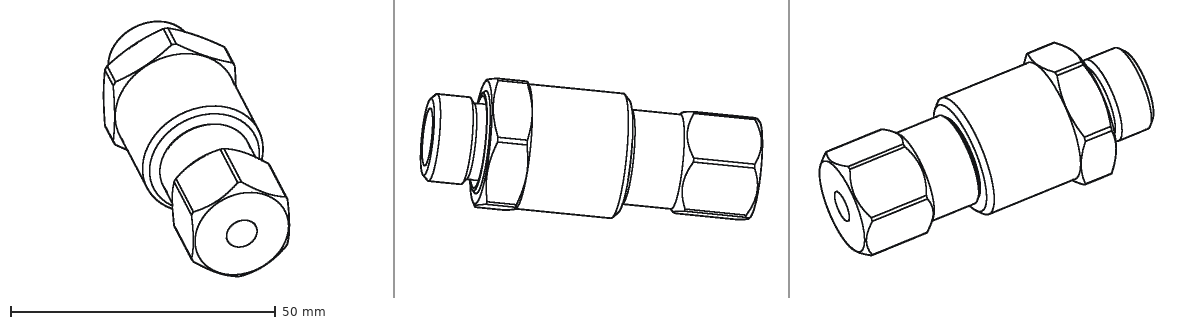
import cadquery as cq
import math

length = 62.8

thread_d = 16.65
undercut_d = 14.5
thread_chamfer = 1.0
thread_end = 7.3
undercut_start = thread_end + 0.6
undercut_chamfer_d = 14.9
undercut_step = 0.25

collar_d = 19.6
collar_start = 9.8
collar_face_d = 18.6
recess_d = 17.5
recess_depth = 0.55

body_hex_flats = 24.0
body_hex_corners = 27.2
body_hex_start = 10.3
body_hex_end = 18.0
body_hex_face_d = 23.4
body_hex_chamfer_angle = 30.0

body_d = 23.8
body_end = 37.55
body_chamfer = 1.05

neck_d = 16.65
sleeve_d = 18.0
sleeve_start = 37.8
sleeve_chamfer = 0.5
sleeve_end = 47.8

nut_flats = 18.95
nut_corners = 21.5
nut_end_face_d = 18.45
nut_chamfer_angle = 45.0

bore_d = 6.0
cone_mouth_d = 10.9
cone_small_d = 7.0
cone_angle = 30.0
entry_bore_depth = 9.4


def revolve(profile):
    """Revolve (x, diameter) points around the X axis, closing the profile on the axis."""
    points = [(x, diameter / 2) for x, diameter in profile]
    outline = [(points[0][0], 0)] + points + [(points[-1][0], 0)]
    return cq.Workplane("XY").polyline(outline).close().revolve(360, (0, 0, 0), (1, 0, 0))


def chamfered_hexagon(start, end, flats, corners, start_d, end_d, chamfer_angle):
    """Hexagon with corners along Z, turned to the corner diameter and chamfered at both ends."""
    slope = math.tan(math.radians(chamfer_angle))
    start_chamfer = (corners - start_d) / 2 * slope
    end_chamfer = (corners - end_d) / 2 * slope
    sharp_corners = flats / math.cos(math.pi / 6)
    prism = (
        cq.Workplane("YZ", origin=(start, 0, 0))
        .transformed(rotate=(0, 0, 90))
        .polygon(6, sharp_corners)
        .extrude(end - start)
    )
    envelope = revolve([
        (start, start_d),
        (start + start_chamfer, corners),
        (end - end_chamfer, corners),
        (end, end_d),
    ])
    return prism.intersect(envelope)


turned = revolve([
    (0, thread_d - 2 * thread_chamfer),
    (thread_chamfer, thread_d),
    (thread_end, thread_d),
    (undercut_start, undercut_chamfer_d),
    (undercut_start + undercut_step, undercut_d),
    (collar_start + recess_depth, undercut_d),
    (collar_start, recess_d),
    (collar_start, collar_face_d),
    (body_hex_start, collar_d),
    (body_hex_start, body_hex_face_d),
    (body_hex_end, body_hex_face_d),
    (body_hex_end, body_d),
    (body_end - body_chamfer, body_d),
    (body_end, body_d - 2 * body_chamfer),
    (body_end, neck_d),
    (sleeve_start, neck_d),
    (sleeve_start, sleeve_d - 2 * sleeve_chamfer),
    (sleeve_start + sleeve_chamfer, sleeve_d),
    (sleeve_end, sleeve_d),
    (length, sleeve_d),
])

body_hex = chamfered_hexagon(
    body_hex_start, body_hex_end, body_hex_flats, body_hex_corners,
    body_hex_face_d, body_d, body_hex_chamfer_angle,
)
nut = chamfered_hexagon(
    sleeve_end, length, nut_flats, nut_corners,
    sleeve_d, nut_end_face_d, nut_chamfer_angle,
)

cone_depth = (cone_mouth_d - cone_small_d) / 2 / math.tan(math.radians(cone_angle))
bore = revolve([
    (0, cone_mouth_d),
    (cone_depth, cone_small_d),
    (entry_bore_depth, cone_small_d),
    (entry_bore_depth, bore_d),
    (length, bore_d),
])

recess_slope = (recess_d - undercut_d) / recess_depth
hex_recess_d = undercut_d + recess_slope * (collar_start + recess_depth - body_hex_start)
hex_recess = revolve([(body_hex_start, hex_recess_d), (collar_start + recess_depth, undercut_d)])

result = turned.union(body_hex.cut(hex_recess)).union(nut).cut(bore)